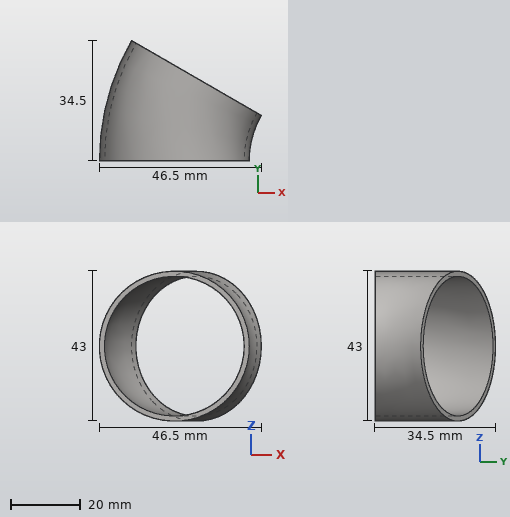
import cadquery as cq

outer_diameter = 43.0
wall = 1.5
bend_radius = 47.5
bend_angle = 30

outer_radius = outer_diameter / 2
inner_radius = outer_radius - wall

section = cq.Workplane("XZ").circle(outer_radius).circle(inner_radius)

axis_start = (bend_radius, 0.45)
axis_end = (bend_radius, 0)
result = section.revolve(bend_angle, axis_start, axis_end)